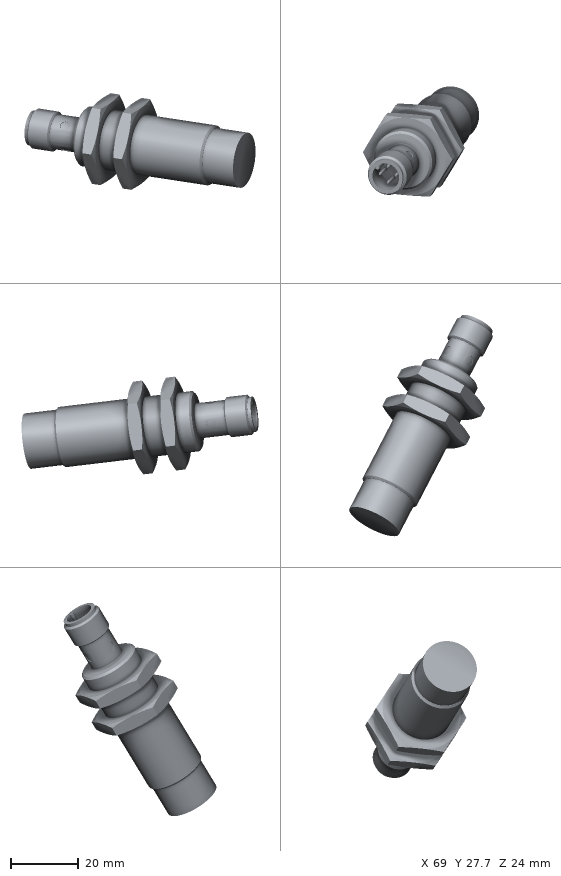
import cadquery as cq
import math

total_length = 69.0

connector_diameter = 10.5
thread_diameter = 12.0
thread_start = 1.05
thread_end = 8.15
thread_chamfer_length = 0.5
thread_chamfer_depth = 0.6
neck_end = 17.05
neck_fillet = 0.35

barrel_diameter = 18.0
barrel_chamfer = 0.6
shoulder_cone_length = 0.3
barrel_start = neck_end + shoulder_cone_length
barrel_end = 59.05
sensing_diameter = 16.55

socket_diameter = 8.3
socket_depth = 8.3
pin_diameter = 1.0
pin_tip_diameter = 0.5
pin_tip_length = 0.8
pin_recess = 2.1
pin_offset = 2.5
pin_count = 4
key_diameter = 1.25
key_offset = 2.6

window_diameter = 3.0
window_depth = 0.2
window_position = 12.4
window_count = 4
first_window_angle = 45.0

nut_across_flats = 24.0
nut_across_corners = nut_across_flats / math.cos(math.radians(30))
nut_starts = (22.0, 32.0)
nut_thickness = 4.0
nut_chamfer_length = 0.6
nut_face_diameter = nut_across_flats


def make_shell():
    """Turned outside of the housing, from the connector to the sensing end."""
    connector_radius = connector_diameter / 2
    thread_radius = thread_diameter / 2
    barrel_radius = barrel_diameter / 2
    chamfer_radius = barrel_radius - barrel_chamfer
    sensing_radius = sensing_diameter / 2
    fillet_start = neck_end - neck_fillet
    fillet_mid_x = fillet_start + neck_fillet * math.sin(math.radians(45))
    fillet_mid_radius = connector_radius + neck_fillet * (1 - math.cos(math.radians(45)))
    return (
        cq.Workplane("XY")
        .moveTo(0, 0)
        .lineTo(0, connector_radius)
        .lineTo(thread_start, connector_radius)
        .lineTo(thread_start, thread_radius - thread_chamfer_depth)
        .lineTo(thread_start + thread_chamfer_length, thread_radius)
        .lineTo(thread_end - thread_chamfer_length, thread_radius)
        .lineTo(thread_end, thread_radius - thread_chamfer_depth)
        .lineTo(thread_end, connector_radius)
        .lineTo(fillet_start, connector_radius)
        .threePointArc((fillet_mid_x, fillet_mid_radius), (neck_end, connector_radius + neck_fillet))
        .lineTo(barrel_start, chamfer_radius)
        .lineTo(barrel_start + barrel_chamfer, barrel_radius)
        .lineTo(barrel_end - barrel_chamfer, barrel_radius)
        .lineTo(barrel_end, chamfer_radius)
        .lineTo(barrel_end, sensing_radius)
        .lineTo(total_length, sensing_radius)
        .lineTo(total_length, 0)
        .close()
        .revolve(360, (0, 0, 0), (1, 0, 0))
    )


def x_cylinder(diameter, start, end, y=0.0, z=0.0):
    """Cylinder parallel to X between two X positions."""
    return cq.Workplane("YZ", origin=(start, y, z)).circle(diameter / 2).extrude(end - start)


def make_pin(angle):
    """Contact pin with a tapered tip, standing on the socket floor."""
    taper_end = pin_recess + pin_tip_length
    pin = (
        cq.Workplane("XY")
        .moveTo(pin_recess, 0)
        .lineTo(pin_recess, pin_tip_diameter / 2)
        .lineTo(taper_end, pin_diameter / 2)
        .lineTo(socket_depth, pin_diameter / 2)
        .lineTo(socket_depth, 0)
        .close()
        .revolve(360, (0, 0, 0), (1, 0, 0))
    )
    return pin.translate((0, pin_offset, 0)).rotate((0, 0, 0), (1, 0, 0), angle)


def make_key():
    """Coding rib that runs along the socket wall, flush with the connector face."""
    return x_cylinder(key_diameter, 0, socket_depth, key_offset, key_offset)


def make_window_cutter(angle):
    """Ring sector that sinks a round window evenly below the neck surface."""
    neck_radius = connector_diameter / 2
    plug = (
        cq.Workplane("XY", origin=(window_position, 0, 0))
        .circle(window_diameter / 2)
        .extrude(thread_diameter / 2)
    )
    core = x_cylinder(2 * (neck_radius - window_depth), thread_end, neck_end)
    return plug.cut(core).rotate((0, 0, 0), (1, 0, 0), angle)


def make_housing():
    """Sensor housing with its socket, contact pins, coding key and windows."""
    housing = make_shell().cut(x_cylinder(socket_diameter, 0, socket_depth))
    for index in range(pin_count):
        housing = housing.union(make_pin(index * 360 / pin_count))
    housing = housing.union(make_key()).clean()
    for index in range(window_count):
        housing = housing.cut(make_window_cutter(first_window_angle + index * 360 / window_count))
    return housing


def make_nut(start):
    """Hexagon nut with corners chamfered on both faces, bored to fit the barrel."""
    end = start + nut_thickness
    face_radius = nut_face_diameter / 2
    corner_radius = nut_across_corners / 2
    hexagon = cq.Workplane("YZ", origin=(start, 0, 0)).polygon(6, nut_across_corners).extrude(nut_thickness)
    chamfer_envelope = (
        cq.Workplane("XY")
        .moveTo(start, 0)
        .lineTo(start, face_radius)
        .lineTo(start + nut_chamfer_length, corner_radius)
        .lineTo(end - nut_chamfer_length, corner_radius)
        .lineTo(end, face_radius)
        .lineTo(end, 0)
        .close()
        .revolve(360, (0, 0, 0), (1, 0, 0))
    )
    return hexagon.intersect(chamfer_envelope).cut(x_cylinder(barrel_diameter, start, end))


housing = make_housing()
nuts = [make_nut(start) for start in nut_starts]

result = cq.Compound.makeCompound([housing.val(), *[nut.val() for nut in nuts]])